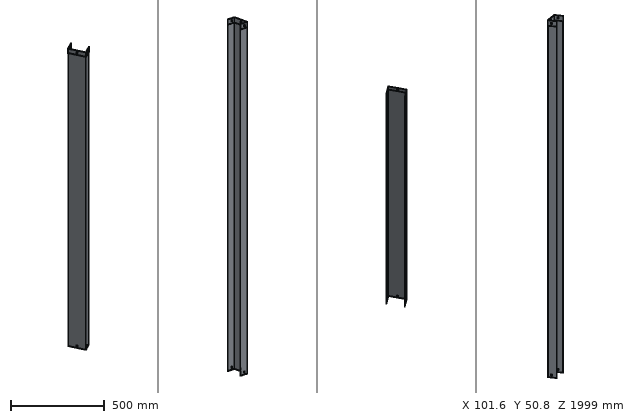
import cadquery as cq

CHANNEL_WIDTH = 100.0
CHANNEL_DEPTH = 50.0
LENGTH = 1999.0

SHEET = 0.8
SOCKET_LENGTH = 30.0
HOLE_DIAMETER = 7.0
HOLE_END_DISTANCE = SOCKET_LENGTH / 2
SIDE_HOLE_SETBACK = 20.0


def u_channel(offset, bottom, top):
    """U-shaped channel open toward +Y, its outer faces moved outward by the offset."""
    width = CHANNEL_WIDTH + 2 * offset
    height = top - bottom
    outer = cq.Workplane("XY").box(width, CHANNEL_DEPTH + offset, height, centered=(True, False, False))
    cavity = cq.Workplane("XY").box(
        width - 2 * SHEET, CHANNEL_DEPTH + offset, height, centered=(True, False, False)
    )
    return outer.cut(cavity.translate((0, SHEET, 0))).translate((0, -offset, bottom))


socket_bottom = LENGTH - SOCKET_LENGTH
body = u_channel(0, 0, socket_bottom)
socket = u_channel(SHEET, socket_bottom - SHEET, LENGTH)
channel = body.union(socket)


def hole_cutters(height):
    """One hole through the web and one through both flanges at the given height."""
    radius = HOLE_DIAMETER / 2
    web_hole = cq.Workplane("XZ", origin=(0, 0, height)).circle(radius).extrude(CHANNEL_DEPTH, both=True)
    flange_holes = (
        cq.Workplane("YZ", origin=(0, SIDE_HOLE_SETBACK, height))
        .circle(radius)
        .extrude(CHANNEL_WIDTH, both=True)
    )
    return web_hole.union(flange_holes)


for hole_height in (HOLE_END_DISTANCE, LENGTH - HOLE_END_DISTANCE):
    channel = channel.cut(hole_cutters(hole_height))

result = channel